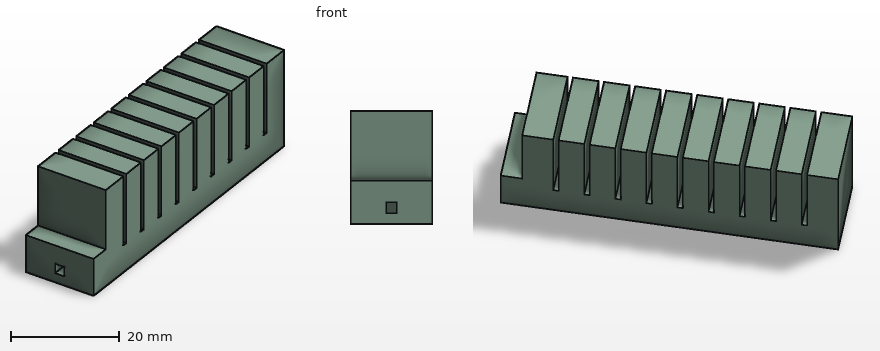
import cadquery as cq

width = 15.0
length = 63.0
height = 20.8

step_length = 4.05
step_height = 8.0

slot_count = 9
slot_pitch = 5.8
slot_width = 1.0
slot_depth = 14.9

hole_side = 2.0
hole_bottom = 2.0
hole_depth = step_length


def stepped_block():
    profile = [
        (0, 0),
        (length, 0),
        (length, height),
        (step_length, height),
        (step_length, step_height),
        (0, step_height),
    ]
    return cq.Workplane("YZ").polyline(profile).close().extrude(width / 2, both=True)


def slots():
    middle_y = (step_length + length) / 2
    return (
        cq.Workplane("XY", origin=(0, middle_y, height))
        .rarray(0.6, slot_pitch, 1, slot_count)
        .rect(width, slot_width)
        .extrude(-slot_depth)
    )


def square_hole():
    return cq.Workplane("XY", origin=(0, 0, hole_bottom)).box(
        hole_side, hole_depth, hole_side, centered=(True, False, False)
    )


result = stepped_block().cut(slots()).cut(square_hole())